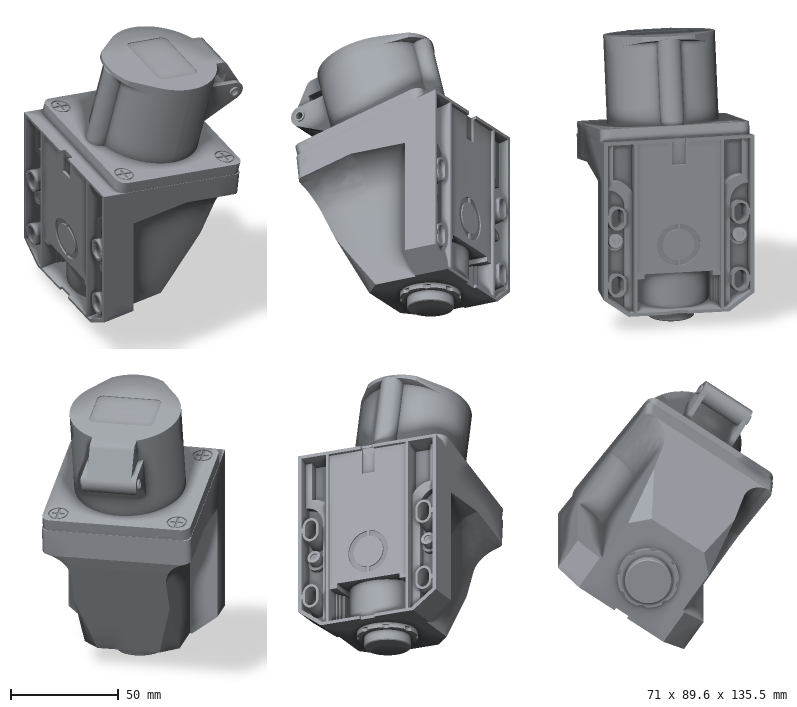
import cadquery as cq
import math

width = 71.0
half_width = width / 2
front_height = 85.6
tilt = 14.3
tilt_sin = math.sin(math.radians(tilt))
tilt_cos = math.cos(math.radians(tilt))
tilt_tan = math.tan(math.radians(tilt))
over = 6.8

rear_foot_y = 46.9
rear_knee_y = 71.3
rear_knee_z = 48.2
rear_step_y = 73.8
rear_step_z = 53.7
rear_top_y = 75.2
upper_corner_radius = 2.8
plate_thickness = 17.6
body_half_width = 22.6
overhang_z = 60.7
overhang_bend_y = 45.0
cove_radius = 14.0
recess_draft = 6.0
corner_cut_width = 11.7
corner_cut_height = 8.5
facet_setback = 7.9
facet_height = 27.0

rim = 1.5
outer_wall = 1.8
panel_half_width = 19.8
panel_depth = 1.4
pocket_inner_x = 21.1
pocket_outer_x = half_width - outer_wall
ledge_depth = 4.9
pocket_depth = 9.0
ledge_outer_x = 30.5
ledge_inner_x = 24.9
lower_bend_z = 52.2
upper_bend_z = 54.0
upper_bend_radius = 10.7
window_top = 17.6
window_steps = ((panel_half_width, 8.1), (19.1, 10.2), (18.3, 12.2), (17.0, 19.0))
window_notch_half_width = 16.1
window_notch_top = 19.9
latch_half_width = 3.3
latch_bottom = 72.4
latch_depth = 2.7
drain_half_width = 3.7
knockout_z = 33.5
knockout_outer_radius = 10.2
knockout_inner_radius = 7.6
knockout_bridge = 1.2
knockout_depth = 0.7

boss_x = 29.0
slot_boss_heights = (48.2, 15.5)
slot_boss_length = 11.1
slot_boss_width = 8.3
slot_length = 8.8
slot_width = 5.8
slot_depth = 15.6
boss_bridge_height = 2.5
post_x = 29.3
post_z = 37.1
post_base_diameter = 9.5
post_front = 4.0
post_base_front = 8.4
post_diameter = 6.5
post_hole_diameter = 3.5
post_hole_depth = 0.7

gland_y = 22.5
collar_diameter = 34.8
collar_y = 21.8
gland_diameter = 21.8
gland_length = 7.3
gland_chamfer = 0.4
nut_diameter = 28.6
nut_height = 2.5
nut_rim = 0.8
nut_lobes = 8
nut_scallop_radius = 2.5
nut_scallop_offset = 15.7

flange_width = 70.7
flange_length = 69.4
flange_corner_radius = 4.3
flange_centre_u = 42.8
pad_height = 1.4
flange_top = 5.7
barrel_u = 43.4
barrel_radius = 26.0
barrel_top = 47.2
key_u = 17.5
key_radius = 5.5
key_top = 45.7
tab_angle = 37.5
tab_side_length = 13.5
tab_tip_u = 12.9
tab_thickness = 4.6
tab_tip_thickness = 1.8
label_width = 30.5
label_length = 22.2
label_radius = 2.7
label_depth = 0.4
screw_spacing = 56.5
screw_recess_diameter = 9.5
screw_head_diameter = 8.0
screw_recess_depth = 0.7
screw_slot_width = 1.2
screw_cross_length = 6.0

hinge_u = 79.5
hinge_w = 30.9
hinge_radius = 4.9
hinge_half_width = 13.0
ear_thickness = 2.5
ear_inner_x = hinge_half_width - ear_thickness
ear_root_u = 65.9
ear_root_w = 15.9
hinge_top_u = 72.4
hinge_corner_radius = 4.0
hinge_lug_bottom = 40.2
web_front_u = 74.1
pin_diameter = 5.0
pin_bore = 3.4
pin_length = 27.9

top_origin = (0, 0, front_height)
top_plane = cq.Plane(origin=top_origin, xDir=(1, 0, 0), normal=(0, tilt_sin, tilt_cos))
side_plane = cq.Plane(origin=top_origin, xDir=(0, tilt_cos, -tilt_sin), normal=(1, 0, 0))


def box(x_min, x_max, y_min, y_max, z_min, z_max):
    """Axis-aligned block between the given limits."""
    size = (x_max - x_min, y_max - y_min, z_max - z_min)
    return cq.Workplane("XY").box(*size, centered=False).translate((x_min, y_min, z_min))


def on_top(w):
    """Workplane parallel to the tilted housing top, at height w above it."""
    return cq.Workplane(top_plane).workplane(offset=w)


def both_sides(shape):
    """The shape together with its mirror image about x = 0."""
    return shape.union(shape.mirror("YZ"))


def front_sketch():
    """Workplane on the front face with x and z axes; positive extrusion goes into the part."""
    return cq.Workplane(cq.Plane(origin=(0, 0, 0), xDir=(-1, 0, 0), normal=(0, 1, 0)))


def top_z(y):
    """Height of the tilted housing top at depth y."""
    return front_height - y * tilt_tan


def housing_block():
    """Full-width block with the tilted top and the sloping back."""
    outline = [
        (0, 0),
        (rear_foot_y, 0),
        (rear_knee_y, rear_knee_z),
        (rear_step_y, rear_step_z),
        (rear_top_y, top_z(rear_top_y)),
        (0, front_height),
    ]
    block = cq.Workplane("YZ").polyline(outline).close().extrude(half_width, both=True)
    rear_edges = cq.selectors.BoxSelector(
        (-width, rear_step_y, rear_step_z),
        (width, rear_top_y, top_z(rear_top_y)),
    )
    return block.edges(rear_edges).edges("not |X").fillet(upper_corner_radius)


def recess_outline(flare):
    """Side outline of the recess, grown outward by the given flare."""
    far_y = rear_top_y + over
    bend_y = overhang_bend_y + flare * math.tan(math.radians(tilt / 2))
    top = overhang_z + flare
    return [
        (plate_thickness - flare, -over),
        (plate_thickness - flare, top),
        (bend_y, top),
        (far_y, top - (far_y - bend_y) * tilt_tan),
        (far_y, -over),
    ]


def side_recess():
    """Space beside the narrow body, flaring outward, with a cove under the upper box."""
    depth = half_width - body_half_width + over
    flare = depth * math.tan(math.radians(recess_draft))
    recess = (
        cq.Workplane("YZ")
        .workplane(offset=body_half_width)
        .polyline(recess_outline(0))
        .close()
        .workplane(offset=depth)
        .polyline(recess_outline(flare))
        .close()
        .loft(ruled=True)
    )
    cove_edges = cq.selectors.BoxSelector(
        (body_half_width - 0.1, plate_thickness + 1.4, rear_step_z - over),
        (body_half_width + 0.1, rear_top_y + over - 1.4, overhang_z + 1.4),
    )
    return recess.edges(cove_edges).fillet(cove_radius)


def plate_corner():
    """Triangular prism cut from a lower corner of the plate."""
    outline = [
        (-half_width, corner_cut_height),
        (-half_width + corner_cut_width, 0),
        (-half_width, 0),
    ]
    return front_sketch().polyline(outline).close().extrude(plate_thickness)


def rear_facet():
    """Tetrahedron cut from a lower rear corner of the narrow body."""
    slope = (rear_knee_y - rear_foot_y) / rear_knee_z
    corner = cq.Vector(body_half_width, rear_foot_y, 0)
    side = corner - cq.Vector(0, facet_setback, 0)
    back = corner - cq.Vector(facet_setback, 0, 0)
    peak = cq.Vector(body_half_width, rear_foot_y + slope * facet_height, facet_height)
    triangles = [(corner, side, back), (corner, side, peak), (corner, back, peak), (side, back, peak)]
    faces = [cq.Face.makeFromWires(cq.Wire.makePolygon(points, close=True)) for points in triangles]
    return cq.Workplane(cq.Solid.makeSolid(cq.Shell.makeShell(faces)))


def mirrored_x(points):
    """Points for the front sketch, whose x axis runs toward -X."""
    return [(-x, z) for x, z in points]


def side_pocket():
    """Pocket at +X: a shallow ledge with two deeper regions divided by an S-shaped strip."""
    cut_slope = corner_cut_height / corner_cut_width
    wall_rise = outer_wall * math.hypot(1, cut_slope)
    chamfer_top = corner_cut_height - outer_wall * cut_slope + wall_rise
    chamfer_x = pocket_outer_x - (chamfer_top - rim) / cut_slope

    ledge_outline = [
        (pocket_inner_x, rim),
        (chamfer_x, rim),
        (pocket_outer_x, chamfer_top),
        (pocket_outer_x, front_height),
        (pocket_inner_x, front_height),
    ]
    ledge = front_sketch().polyline(mirrored_x(ledge_outline)).close().extrude(ledge_depth)

    upper = box(pocket_inner_x, ledge_outer_x, 0, pocket_depth, upper_bend_z, front_height)
    upper_bend = (
        front_sketch()
        .center(-ledge_outer_x, upper_bend_z)
        .circle(upper_bend_radius)
        .extrude(pocket_depth)
    )
    upper = upper.cut(upper_bend)

    lower_bend_radius = pocket_outer_x - ledge_inner_x
    lower_floor_z = chamfer_top - (pocket_outer_x - ledge_inner_x) * cut_slope
    lower_outline = [
        (ledge_inner_x, lower_floor_z),
        (pocket_outer_x, chamfer_top),
        (pocket_outer_x, lower_bend_z),
        (ledge_inner_x, lower_bend_z),
    ]
    lower = front_sketch().polyline(mirrored_x(lower_outline)).close().extrude(pocket_depth)
    lower_bend = front_sketch().center(-pocket_outer_x, lower_bend_z).circle(lower_bend_radius)
    lower_bend = lower_bend.extrude(pocket_depth).intersect(
        box(ledge_inner_x, pocket_outer_x, 0, pocket_depth, lower_bend_z, front_height)
    )
    return ledge.union(upper).union(lower).union(lower_bend)


def under_top_wall():
    """Space below the top wall, which limits every front recess."""
    outline = [
        (0, 0),
        (plate_thickness + over, 0),
        (plate_thickness + over, top_z(plate_thickness + over) - rim),
        (0, front_height - rim),
    ]
    return cq.Workplane("YZ").polyline(outline).close().extrude(half_width, both=True)


def gland_window():
    """Stepped opening in the lower part of the panel, in front of the gland collar."""
    deepest = max(depth for _, depth in window_steps)
    notch = window_notch_half_width
    opening = box(-notch, notch, 0, deepest, rim, window_notch_top)
    for half, depth in window_steps:
        opening = opening.union(box(-half, half, 0, depth, rim, window_top))
    collar = cq.Workplane("XY").center(0, collar_y).circle(collar_diameter / 2).extrude(front_height)
    return opening.cut(collar)


def knockout_groove():
    """Ring groove in the panel, interrupted by two bridges."""
    ring = (
        front_sketch()
        .center(0, knockout_z)
        .circle(knockout_outer_radius)
        .circle(knockout_inner_radius)
        .extrude(panel_depth + knockout_depth)
    )
    bridge = box(-knockout_bridge / 2, knockout_bridge / 2, 0, over, 0, front_height)
    return ring.cut(bridge)


def boss_sketch(x, z):
    """Workplane whose normal leans up from the front face by the tilt angle."""
    plane = cq.Plane(origin=(x, 0, z), xDir=(1, 0, 0), normal=(0, -tilt_cos, tilt_sin))
    return cq.Workplane(plane)


def inside_pocket(shape):
    """Part of a boss that stands in front of the pocket floor, rooted slightly below it."""
    return shape.intersect(box(ledge_inner_x, half_width, 0, pocket_depth + 1.4, 0, front_height))


def slot_boss(z):
    """Fixing boss with its bridge to the outer wall."""
    sketch = boss_sketch(boss_x, z).slot2D(slot_boss_length, slot_boss_width, 90)
    stem = inside_pocket(sketch.extrude(plate_thickness, both=True))
    half_bridge = boss_bridge_height / 2
    bridge = box(boss_x, pocket_outer_x + 0.7, 0, pocket_depth, z - half_bridge, z + half_bridge)
    return stem.union(bridge)


def slot_hole(z):
    """Leaning slot inside a fixing boss."""
    sketch = boss_sketch(boss_x, z).slot2D(slot_length, slot_width, 90)
    hole = sketch.extrude(plate_thickness, both=True)
    return hole.intersect(box(0, half_width, 0, slot_depth, 0, front_height))


def post_section(front, diameter, length):
    """Leaning cylinder on the post axis that starts at the given distance from the front face."""
    start = boss_sketch(post_x, post_z).workplane(offset=-front)
    return start.circle(diameter / 2).extrude(-length)


def screw_post():
    """Small stepped post between the fixing bosses, with a shallow hole in its end."""
    base = post_section(post_base_front, post_base_diameter, pocket_depth)
    tip = post_section(post_front, post_diameter, pocket_depth)
    post = inside_pocket(base.union(tip))
    return post.cut(post_section(post_front, post_hole_diameter, post_hole_depth))


def flange_outline(w):
    """Rounded outline shared by the housing pad and the socket flange."""
    outline = cq.Sketch().rect(flange_width, flange_length).vertices().fillet(flange_corner_radius)
    return on_top(w).center(0, flange_centre_u).placeSketch(outline)


def build_housing():
    """Housing with its front recesses, bosses and gland seat."""
    body = housing_block()
    body = body.cut(both_sides(side_recess()))
    body = body.cut(both_sides(plate_corner()))
    body = body.cut(both_sides(rear_facet()))
    body = body.union(flange_outline(0).extrude(pad_height))

    panel = box(-panel_half_width, panel_half_width, 0, panel_depth, rim, front_height)
    recesses = both_sides(side_pocket()).union(panel).intersect(under_top_wall())
    body = body.cut(recesses).cut(gland_window())
    body = body.cut(box(-latch_half_width, latch_half_width, 0, latch_depth, latch_bottom, front_height))
    body = body.cut(box(-drain_half_width, drain_half_width, 0, panel_depth, 0, rim))
    body = body.cut(knockout_groove())

    for z in slot_boss_heights:
        body = body.union(both_sides(slot_boss(z))).cut(both_sides(slot_hole(z)))
    body = body.union(both_sides(screw_post()))

    gland_seat = cq.Workplane("XY").center(0, gland_y).circle(gland_diameter / 2).extrude(rim)
    return body.cut(gland_seat)


def lid_tab():
    """Finger tab at the front of the lid: tangent sides, a round tip and a sloping underside."""
    angle = math.radians(tab_angle)
    start_x = barrel_radius * math.cos(angle)
    start_u = barrel_u - barrel_radius * math.sin(angle)
    tip_x = start_x - tab_side_length * math.sin(angle)
    tip_u = start_u - tab_side_length * math.cos(angle)
    outline = (
        on_top(barrel_top)
        .moveTo(-start_x, start_u)
        .lineTo(-tip_x, tip_u)
        .threePointArc((0, tab_tip_u), (tip_x, tip_u))
        .lineTo(start_x, start_u)
        .close()
    )
    section = [
        (tab_tip_u, barrel_top),
        (start_u, barrel_top),
        (start_u, barrel_top - tab_thickness),
        (tab_tip_u, barrel_top - tab_tip_thickness),
    ]
    wedge = cq.Workplane(side_plane).polyline(section).close().extrude(half_width, both=True)
    return outline.extrude(-tab_thickness).intersect(wedge)


def hinge_tangent(u, w, side):
    """Point where a line from (u, w) touches the round hinge end, on the chosen side."""
    distance = math.hypot(u - hinge_u, w - hinge_w)
    heading = math.atan2(w - hinge_w, u - hinge_u)
    angle = heading + side * math.acos(hinge_radius / distance)
    return hinge_u + hinge_radius * math.cos(angle), hinge_w + hinge_radius * math.sin(angle)


def barrel_ears():
    """Pair of ears that carry the hinge pin."""
    ear = (
        cq.Workplane(side_plane)
        .workplane(offset=ear_inner_x)
        .moveTo(barrel_u, hinge_w + hinge_radius)
        .lineTo(hinge_u, hinge_w + hinge_radius)
        .threePointArc((hinge_u + hinge_radius, hinge_w), hinge_tangent(ear_root_u, ear_root_w, 1))
        .lineTo(ear_root_u, ear_root_w)
        .lineTo(barrel_u, ear_root_w)
        .close()
        .extrude(ear_thickness)
    )
    return both_sides(ear)


def lid_hinge():
    """Lid lug and the web that runs down from it to the hinge, between the ears."""
    touch = hinge_tangent(hinge_top_u, barrel_top, -1)
    lug = (
        cq.Workplane(side_plane)
        .moveTo(barrel_u, barrel_top)
        .lineTo(hinge_top_u, barrel_top)
        .lineTo(*touch)
        .lineTo(web_front_u, hinge_w + hinge_radius)
        .lineTo(web_front_u, hinge_lug_bottom)
        .lineTo(barrel_u, hinge_lug_bottom)
        .close()
        .extrude(ear_inner_x, both=True)
    )
    top_corner = cq.selectors.NearestToPointSelector(
        side_plane.toWorldCoords((hinge_top_u, barrel_top, 0)).toTuple()
    )
    lug = lug.edges("|X").edges(top_corner).fillet(hinge_corner_radius)
    knuckle = (
        cq.Workplane(side_plane)
        .center(hinge_u, hinge_w)
        .circle(hinge_radius)
        .extrude(ear_inner_x, both=True)
    )
    return lug.union(knuckle)


def hinge_pin(diameter):
    """Cylinder along the hinge axis."""
    axis = cq.Workplane(side_plane).center(hinge_u, hinge_w)
    return axis.circle(diameter / 2).extrude(pin_length / 2, both=True)


def screw_recesses():
    """Ring gap and cross slots of the four flange screws."""
    floor = flange_top - screw_recess_depth
    places = on_top(floor).center(0, flange_centre_u)
    spots = places.rect(screw_spacing, screw_spacing, forConstruction=True).vertices()
    rings = spots.circle(screw_recess_diameter / 2).circle(screw_head_diameter / 2)
    cuts = rings.extrude(screw_recess_depth)
    for slot in ((screw_slot_width, screw_head_diameter), (screw_cross_length, screw_slot_width)):
        cuts = cuts.union(spots.rect(*slot).extrude(screw_recess_depth))
    return cuts


def label_recess():
    """Shallow rounded panel in the lid."""
    floor = on_top(barrel_top - label_depth).center(0, barrel_u)
    panel = floor.rect(label_width, label_length).extrude(label_depth)
    return panel.edges(cq.selectors.ParallelDirSelector(top_plane.zDir)).fillet(label_radius)


def build_socket():
    """Flange, keyed barrel and closed lid with its hinge."""
    body = flange_outline(pad_height).extrude(flange_top - pad_height)
    body = body.union(barrel_ears()).union(lid_hinge())
    for u, radius, top in ((barrel_u, barrel_radius, barrel_top), (key_u, key_radius, key_top)):
        column = on_top(pad_height).center(0, u).circle(radius).extrude(top - pad_height)
        body = body.union(column)
    body = body.union(lid_tab())
    body = body.union(hinge_pin(pin_diameter)).cut(hinge_pin(pin_bore))
    return body.cut(screw_recesses()).cut(label_recess())


def build_gland():
    """Cable gland with a lobed nut, seated in the bottom wall."""
    centre = cq.Workplane("XY").center(0, gland_y)
    stem = centre.workplane(offset=-gland_length).circle(gland_diameter / 2).extrude(gland_length + rim)
    stem = stem.faces("<Z").chamfer(gland_chamfer)
    nut = centre.circle(nut_diameter / 2).extrude(-nut_height)
    below_rim = centre.workplane(offset=-nut_rim)
    scallops = below_rim.polarArray(nut_scallop_offset, 180 / nut_lobes, 360, nut_lobes)
    nut = nut.cut(scallops.circle(nut_scallop_radius).extrude(nut_rim - nut_height))
    return stem.union(nut)


housing = build_housing()
socket = build_socket()
gland = build_gland()
result = cq.Compound.makeCompound([housing.val(), socket.val(), gland.val()])